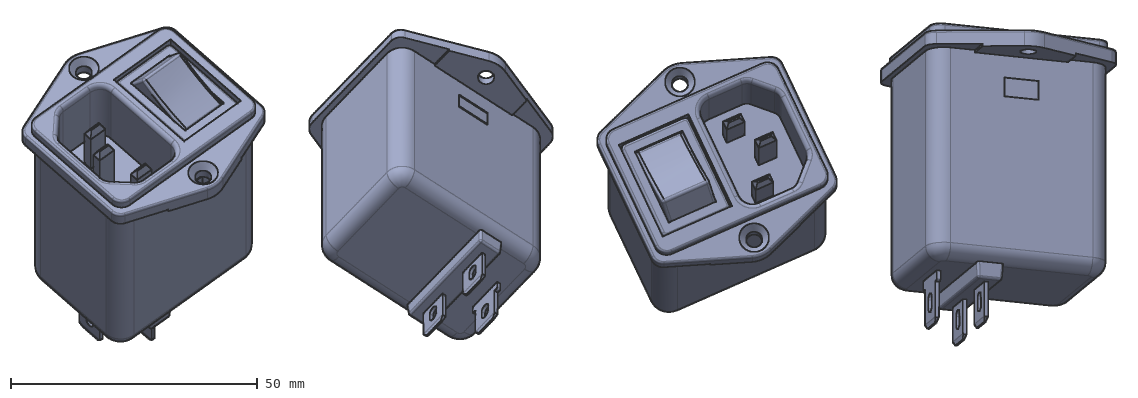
import cadquery as cq
import math


flange_width = 44.0
flange_depth = 41.0
flange_thickness = 2.95
flange_slant_angle = 20.6
flange_tip_radius = 6.0
flange_corner_radius = 2.5
flange_edge_round = 0.45
pad_thickness = 0.5
pad_depth = 20.0

screw_x = 18.05
screw_diameter = 3.3
countersink_diameter = 6.05
countersink_angle = 90

bezel_width = 28.4
bezel_depth = 38.2
bezel_rise = 2.05
bezel_corner_radius = 2.5
bezel_edge_round = 0.45
bezel_top = flange_thickness + bezel_rise

case_width = 27.85
case_depth = 38.5
case_height = 44.3
case_corner_radius = 4.0
case_bottom_round = 3.0
latch_width = 7.3
latch_height = 4.0
latch_drop = 5.15
latch_recess = 0.2

block_width = 24.25
block_depth = 5.85
block_height = 3.15
block_y = -6.05
block_draft = 4
block_edge_round = 0.5
block_overlap = 0.65
block_bottom = -case_height - block_height

socket_width = 24.1
socket_top_y = -0.7
socket_bottom_y = -17.0
socket_chamfer = 4.95
socket_top_radius = 3.0
socket_chamfer_radius = 2.4
socket_rim_round = 1.0
socket_depth = 16.05
socket_floor = bezel_top - socket_depth

pin_width = 1.9
pin_depth = 4.0
pin_tip_inset = 0.8
pin_tip_height = 1.6
live_pin_x = 7.0
live_pin_y = -6.9
live_pin_drop = 4.75
ground_pin_y = -10.85
ground_pin_drop = 1.7

pocket_width = 21.25
pocket_depth = 15.45
pocket_y = 9.25
pocket_sink = 2.5
pocket_floor = bezel_top - pocket_sink
frame_clearance = 0.2
frame_sink = 0.9
frame_corner_radius = 1.0
frame_edge_round = 0.6
frame_top = bezel_top - frame_sink
rocker_width = 16.4
rocker_depth = 10.6
rocker_peak_x = -4.8
rocker_peak_rise = 3.65
rocker_middle_x = -0.4
rocker_middle_rise = 1.4
rocker_low_sink = 0.3
rocker_edge_round = 0.65

tab_width = 6.3
tab_thickness = 0.85
tab_bevel_height = 1.1
tab_bevel_inset = 0.25
tab_corner_cut = 0.9
tab_slot_width = 2.05
tab_slot_length = 4.0
tab_slot_to_tip = 4.9
live_tab_x = 6.5
live_tab_tip = -55.7
ground_tab_y = -14.3
ground_tab_tip = -54.9
ground_shoulder_width = 8.1
ground_shoulder_height = 2.1
ground_shoulder_round = 0.4


def box_from(width, depth, bottom, top):
    """Box centred on the Z axis between two heights."""
    return cq.Workplane("XY").workplane(offset=bottom).rect(width, depth).extrude(top - bottom)


def flange_prism(bottom, top):
    """Hexagonal flange outline with rounded tips and corners."""
    slant = math.radians(flange_slant_angle)
    tip_x = flange_width / 2 + flange_tip_radius * (1 / math.cos(slant) - 1)
    corner_y = flange_depth / 2
    corner_x = tip_x - corner_y * math.tan(slant)
    outline = [
        (tip_x, 0), (corner_x, corner_y), (-corner_x, corner_y),
        (-tip_x, 0), (-corner_x, -corner_y), (corner_x, -corner_y),
    ]
    prism = cq.Workplane("XY").workplane(offset=bottom).polyline(outline).close().extrude(top - bottom)
    prism = prism.edges("|Z and (>X or <X)").fillet(flange_tip_radius)
    return prism.edges("|Z and (>Y or <Y)").fillet(flange_corner_radius)


def make_flange():
    flange = flange_prism(0, flange_thickness).faces(">Z").edges().fillet(flange_edge_round)
    ear_pads = flange_prism(-pad_thickness, 0).intersect(
        box_from(flange_width, pad_depth, -pad_thickness, 0)
    )
    return flange.union(ear_pads)


def make_bezel():
    bezel = box_from(bezel_width, bezel_depth, 0, bezel_top)
    bezel = bezel.edges("|Z").fillet(bezel_corner_radius)
    return bezel.faces(">Z").edges().fillet(bezel_edge_round)


def make_case():
    case = box_from(case_width, case_depth, -case_height, 0)
    case = case.edges("|Z").fillet(case_corner_radius)
    case = case.faces("<Z").edges().fillet(case_bottom_round)
    latch_z = -latch_drop - latch_height / 2
    for side in (-1, 1):
        recess = cq.Workplane("XY").box(2 * latch_recess, latch_width, latch_height)
        case = case.cut(recess.translate((side * case_width / 2, 0, latch_z)))
    return case


def make_terminal_block():
    """Drafted block that the live and neutral tabs come out of."""
    block = (
        cq.Workplane("XY").workplane(offset=-case_height + block_overlap)
        .center(0, block_y).rect(block_width, block_depth)
        .extrude(-block_height - block_overlap, taper=block_draft)
    )
    return block.edges("not >Z").fillet(block_edge_round)


def make_socket_cavity():
    """Inlet cavity: rounded at the top, two chamfered corners at the bottom."""
    side_x = socket_width / 2
    outline = [
        (side_x, socket_top_y),
        (-side_x, socket_top_y),
        (-side_x, socket_bottom_y + socket_chamfer),
        (-side_x + socket_chamfer, socket_bottom_y),
        (side_x - socket_chamfer, socket_bottom_y),
        (side_x, socket_bottom_y + socket_chamfer),
    ]
    floor_plane = cq.Workplane("XY").workplane(offset=socket_floor)
    cavity = floor_plane.polyline(outline).close().extrude(socket_depth)
    middle_y = (socket_top_y + socket_bottom_y) / 2
    lower_edges = cq.selectors.BoxSelector(
        (-flange_width, -flange_depth, -case_height), (flange_width, middle_y, bezel_top)
    )
    cavity = cavity.edges("|Z and >Y").fillet(socket_top_radius)
    return cavity.edges("|Z").edges(lower_edges).fillet(socket_chamfer_radius)


def round_socket_rim(housing):
    rim_margin = socket_rim_round / 2
    rim = cq.selectors.BoxSelector(
        (-socket_width / 2 - rim_margin, socket_bottom_y - rim_margin, bezel_top - rim_margin),
        (socket_width / 2 + rim_margin, socket_top_y + rim_margin, bezel_top + rim_margin),
        boundingbox=True,
    )
    return housing.edges(rim).fillet(socket_rim_round)


def make_screw_holes():
    """Countersunk through-hole cutters for the two ears."""
    flange_top = cq.Workplane("XY").workplane(offset=flange_thickness)
    holes = flange_top.pushPoints([(-screw_x, 0), (screw_x, 0)]).circle(screw_diameter / 2)
    cutters = holes.extrude(-flange_thickness - pad_thickness)
    sink_depth = (countersink_diameter - screw_diameter) / 2 / math.tan(math.radians(countersink_angle / 2))
    for x in (-screw_x, screw_x):
        cone = cq.Solid.makeCone(
            screw_diameter / 2, countersink_diameter / 2, sink_depth,
            pnt=cq.Vector(x, 0, flange_thickness - sink_depth),
        )
        cutters = cutters.union(cq.Workplane(cone))
    return cutters


def make_housing():
    housing = make_flange().union(make_bezel()).union(make_case()).union(make_terminal_block())
    housing = round_socket_rim(housing.cut(make_socket_cavity()))
    pocket = box_from(pocket_width, pocket_depth, pocket_floor, bezel_top)
    return housing.cut(pocket.translate((0, pocket_y, 0))).cut(make_screw_holes())


def make_switch():
    """Switch frame with its rocker tilted up at the -X end."""
    frame = box_from(pocket_width, pocket_depth - 2 * frame_clearance, pocket_floor, frame_top)
    frame = frame.edges("|Z").fillet(frame_corner_radius)
    frame = frame.faces(">Z").edges().fillet(frame_edge_round)
    frame = frame.cut(box_from(rocker_width, rocker_depth, pocket_floor, frame_top))

    end_x = rocker_width / 2
    rocker = (
        cq.Workplane("XZ")
        .moveTo(-end_x, pocket_floor)
        .lineTo(-end_x, frame_top)
        .lineTo(rocker_peak_x, bezel_top + rocker_peak_rise)
        .threePointArc(
            (rocker_middle_x, bezel_top + rocker_middle_rise), (end_x, frame_top - rocker_low_sink)
        )
        .lineTo(end_x, pocket_floor)
        .close()
        .extrude(rocker_depth / 2, both=True)
    )
    above_frame = cq.selectors.BoxSelector(
        (-end_x + rocker_edge_round, -rocker_depth, frame_top - 1.5 * rocker_low_sink),
        (end_x + rocker_edge_round, rocker_depth, bezel_top + 2 * rocker_peak_rise),
    )
    rocker = rocker.edges(above_frame).fillet(rocker_edge_round)
    return frame.union(rocker).translate((0, pocket_y, 0))


def make_pin(x, y, tip_z):
    """Contact pin standing on the socket floor, with a tapered tip."""
    shoulder_z = tip_z - pin_tip_height
    shank = box_from(pin_width, pin_depth, socket_floor, shoulder_z)
    tip = (
        cq.Workplane("XY").workplane(offset=shoulder_z).rect(pin_width, pin_depth)
        .workplane(offset=pin_tip_height)
        .rect(pin_width - 2 * pin_tip_inset, pin_depth - 2 * pin_tip_inset)
        .loft(ruled=True)
    )
    return shank.union(tip).translate((x, y, 0))


def make_tab(x, y, top_z, tip_z):
    """Flat solder tab with a slot, cut corners and a bevelled tip."""
    tab = box_from(tab_width, tab_thickness, tip_z, top_z)
    tab = tab.edges("|Y and <Z").chamfer(tab_corner_cut)
    half = tab_thickness / 2
    for side in (-1, 1):
        bevel = (
            cq.Workplane("YZ")
            .polyline([
                (side * half, tip_z),
                (side * half, tip_z + tab_bevel_height),
                (side * (half - tab_bevel_inset), tip_z),
            ])
            .close().extrude(tab_width / 2, both=True)
        )
        tab = tab.cut(bevel)
    slot = (
        cq.Workplane("XZ").center(0, tip_z + tab_slot_to_tip)
        .slot2D(tab_slot_length, tab_slot_width, 90).extrude(tab_thickness, both=True)
    )
    return tab.cut(slot).translate((x, y, 0))


def make_ground_tab():
    """Solder tab with wider shoulders against the bottom of the case."""
    shoulders = box_from(
        ground_shoulder_width, tab_thickness, -case_height - ground_shoulder_height, -case_height
    )
    shoulders = shoulders.edges("|Y and <Z").fillet(ground_shoulder_round)
    tab = make_tab(0, ground_tab_y, -case_height, ground_tab_tip)
    return tab.union(shoulders.translate((0, ground_tab_y, 0)))


housing = make_housing()
switch = make_switch()

live_pins = [make_pin(x, live_pin_y, bezel_top - live_pin_drop) for x in (-live_pin_x, live_pin_x)]
ground_pin = make_pin(0, ground_pin_y, bezel_top - ground_pin_drop)

live_tabs = [make_tab(x, block_y, block_bottom, live_tab_tip) for x in (-live_tab_x, live_tab_x)]
ground_tab = make_ground_tab()

bodies = [housing, switch, *live_pins, ground_pin, *live_tabs, ground_tab]
result = cq.Compound.makeCompound([body.val() for body in bodies])